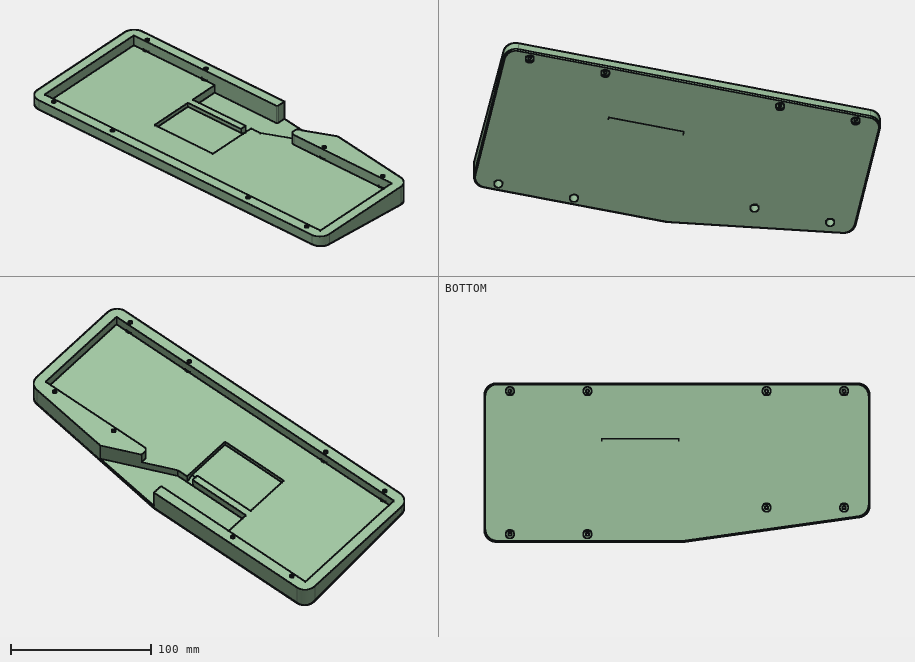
import cadquery as cq
import math


length = 275.32
depth = 113.4
front_height = 9.02
tilt_deg = 5.0
corner_radius = 9.0
rear_taper_deg = 8.0
rear_taper_start_x = 5.1
bottom_chamfer = 1.0

side_wall = 7.7
front_wall = 8.1
pocket_left_y = 105.5
pocket_right_y = 86.1
pocket_depth = 8.5
left_wall_end_x = 5.3
left_wall_end_radius = 1.0
right_wall_end_x = 34.5
right_wall_end_radius = 3.0

recess_left_x = -53.7
recess_front_y = 81.5
recess_depth = 15.0
recess_slant_x = 9.9
recess_slant_deg = 24.4

well_width = 55.0
well_front_y = 39.8
well_rear_y = 76.3
well_depth = 11.9
ramp_width = 5.0

screw_x_outer = 119.2
screw_x_inner = 63.9
screw_front_y = 5.6
screw_rear_left_y = depth - screw_front_y
screw_rear_right_y = 88.8
screw_diameter = 2.0
countersink_diameter = 3.0
countersink_half_angle_deg = 45.0
head_diameter = 6.0
head_seat_depth = 8.0

half_length = length / 2
tilt = math.tan(math.radians(tilt_deg))
taper = math.tan(math.radians(rear_taper_deg))
slant = math.tan(math.radians(recess_slant_deg))
clearance = 10.0
max_depth = front_height + depth * tilt + clearance


def rear_edge_y(x):
    """Y of the tapered rear edge at x."""
    return depth - (x - rear_taper_start_x) * taper


def prism_down(points, cut_depth):
    """Prism from the top face down to cut_depth."""
    return cq.Workplane("XY").polyline(points).close().extrude(-cut_depth)


def box_down(x_min, x_max, y_min, y_max, cut_depth):
    """Rectangular block from the top face down to cut_depth."""
    return prism_down([(x_min, y_min), (x_max, y_min), (x_max, y_max), (x_min, y_max)], cut_depth)


def make_body():
    """Rounded outline cut off by the tilted underside, with a chamfered lower rim."""
    outline = [
        (-half_length, 0),
        (half_length, 0),
        (half_length, rear_edge_y(half_length)),
        (rear_taper_start_x, depth),
        (-half_length, depth),
    ]
    block = prism_down(outline, max_depth)
    block = block.edges("|Z and (<X or >X)").fillet(corner_radius)
    below = (
        cq.Workplane("YZ")
        .polyline([
            (-clearance, -front_height + clearance * tilt),
            (depth + clearance, -front_height - (depth + clearance) * tilt),
            (depth + clearance, -2 * max_depth),
            (-clearance, -2 * max_depth),
        ])
        .close()
        .extrude(half_length + clearance, both=True)
    )
    return block.cut(below).faces("<Z").chamfer(bottom_chamfer)


def make_pocket():
    """Board pocket, reaching further back on the left than on the right."""
    inner_x = half_length - side_wall
    pocket = box_down(-inner_x, inner_x, front_wall, pocket_right_y, pocket_depth)
    left_part = box_down(-inner_x, left_wall_end_x, front_wall, pocket_left_y, pocket_depth)
    return pocket.union(left_part)


def make_opening():
    """Gap in the rear wall down to the pocket floor, bounded by the two rounded wall ends."""
    left_center_y = pocket_left_y + left_wall_end_radius
    right_center_y = pocket_right_y + right_wall_end_radius
    return (
        cq.Workplane("XY")
        .moveTo(left_wall_end_x - left_wall_end_radius, pocket_left_y)
        .radiusArc((left_wall_end_x, left_center_y), -left_wall_end_radius)
        .lineTo(left_wall_end_x, depth + clearance)
        .lineTo(right_wall_end_x, depth + clearance)
        .lineTo(right_wall_end_x, right_center_y)
        .radiusArc((right_wall_end_x + right_wall_end_radius, pocket_right_y), -right_wall_end_radius)
        .lineTo(left_wall_end_x - left_wall_end_radius, pocket_right_y)
        .close()
        .extrude(-pocket_depth)
    )


def make_recess():
    """Deep cable recess running out through the rear edge."""
    slant_end_y = depth + clearance
    slant_end_x = recess_slant_x + (slant_end_y - recess_front_y) / slant
    return (
        cq.Workplane("XY")
        .moveTo(recess_left_x, recess_front_y)
        .lineTo(recess_slant_x, recess_front_y)
        .lineTo(slant_end_x, slant_end_y)
        .lineTo(left_wall_end_x, slant_end_y)
        .lineTo(left_wall_end_x, pocket_left_y + left_wall_end_radius)
        .radiusArc((left_wall_end_x - left_wall_end_radius, pocket_left_y), left_wall_end_radius)
        .lineTo(recess_left_x, pocket_left_y)
        .close()
        .extrude(-recess_depth)
    )


def make_well():
    """Rectangular well below the pocket floor."""
    return box_down(recess_left_x, recess_left_x + well_width, well_front_y, well_rear_y, well_depth)


def make_ramp():
    """Sloped cable channel from the well floor down to the recess floor."""
    right_x = recess_left_x + well_width
    return (
        cq.Workplane("YZ", origin=(right_x - ramp_width, 0, 0))
        .polyline([
            (well_rear_y, 0),
            (well_rear_y, -well_depth),
            (recess_front_y, -recess_depth),
            (recess_front_y, 0),
        ])
        .close()
        .extrude(ramp_width)
    )


def make_screw_holes():
    """Through holes, each with a countersink above and a head counterbore below."""
    points = []
    for x in (screw_x_outer, screw_x_inner):
        points += [(-x, screw_front_y), (x, screw_front_y)]
        points += [(-x, screw_rear_left_y), (x, screw_rear_right_y)]
    countersink_step = (countersink_diameter - screw_diameter) / 2
    countersink_depth = countersink_step / math.tan(math.radians(countersink_half_angle_deg))
    countersinks = (
        cq.Workplane("XY")
        .pushPoints(points)
        .circle(countersink_diameter / 2)
        .extrude(-countersink_depth, taper=countersink_half_angle_deg)
    )
    shanks = cq.Workplane("XY").pushPoints(points).circle(screw_diameter / 2).extrude(-max_depth)
    heads = (
        cq.Workplane("XY", origin=(0, 0, -head_seat_depth))
        .pushPoints(points)
        .circle(head_diameter / 2)
        .extrude(-max_depth)
    )
    return shanks.union(countersinks).union(heads)


result = (
    make_body()
    .cut(make_pocket())
    .cut(make_opening())
    .cut(make_recess())
    .cut(make_well())
    .cut(make_ramp())
    .cut(make_screw_holes())
)